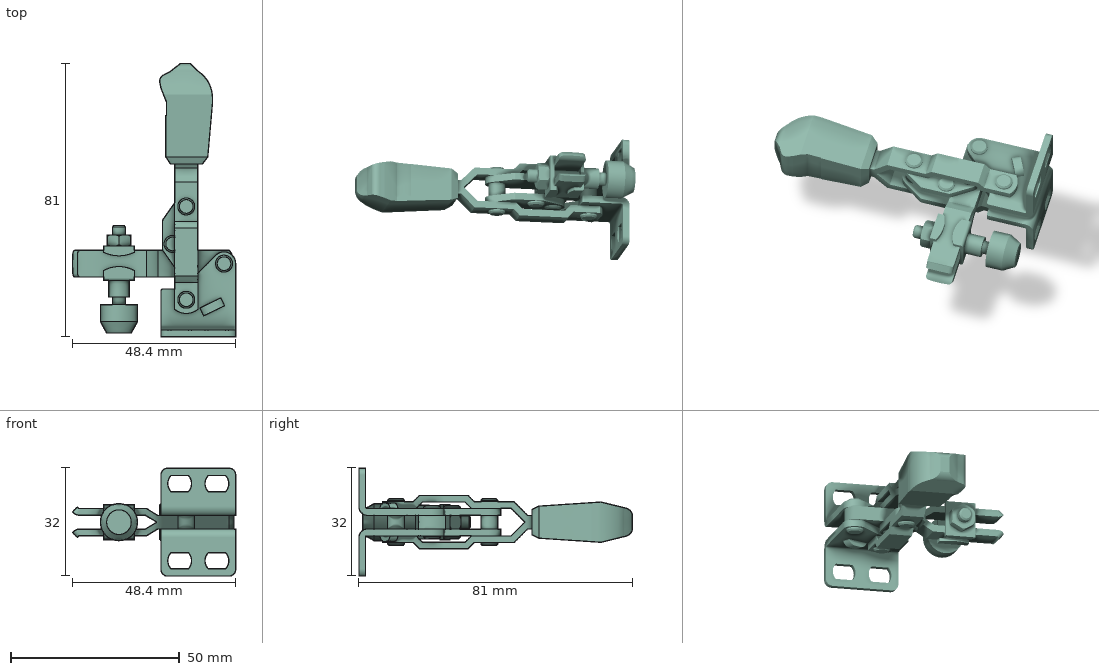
import cadquery as cq
import math


sheet = 2.0
bend_inner = 0.5
bend_outer = bend_inner + sheet
layer_1 = sheet
layer_2 = 2 * sheet
layer_3 = 3 * sheet
far = 48.6
sin_45 = math.sqrt(0.5)

rivet_radius = 2.5
rivet_head = 0.9
rivet_chamfer = 0.5
lever_pivot = (0, 11.0)
link_low_joint = (0, 21.7)
link_top_joint = (0, 38.6)
link_button = (-4.05, 27.5)
arm_pivot = (11.2, link_low_joint[1])

base_left = -7.5
base_right = 14.7
base_width = base_right - base_left
base_middle = (base_left + base_right) / 2
base_depth = 32.0
base_half_depth = base_depth / 2
base_shoulder = 14.25
base_shoulder_fillet = 0.65
base_ear_radius = base_right - arm_pivot[0]
flange_corner = 2.0
slot_spacing = 11.0
slot_offset = 11.4
slot_diameter = 7.0
slot_width = 4.7
stop_length = 6.9
stop_width = 2.6
stop_height = 1.6
stop_ramp = 2.35
stop_angle = 26.0
stop_center = (7.7, 8.9)

arm_height = 8.0
arm_bottom = arm_pivot[1] - arm_height / 2
arm_top = arm_pivot[1] + arm_height / 2
arm_length = 48.35
arm_left = base_right - arm_length
arm_end_x = 14.2
arm_end_shoulder_x = 12.7
arm_tip_fillet = 1.1
arm_tip_crown = 0.25
arm_tip_bend = -31.6
arm_bend_end_x = arm_tip_bend - bend_outer * sin_45
arm_bend_end_z = layer_1 + bend_outer * (1 - sin_45)
arm_tip_z = arm_bend_end_z + arm_bend_end_x - arm_left
arm_fork_outer = (-8.4, -11.75)
arm_fork_inner = (-8.75, -12.15)

lever_width = 6.9
lever_half_width = lever_width / 2
lever_offset = 1.9
lever_fork_y = 50.0
lever_wide_bottom = 18.0
lever_wide_top = 32.3
lever_foot_y = 7.0
lever_foot_corner_y = 8.2
grip_mouth_y = 51.2
grip_chamfer_y = 53.3
grip_peak_y = 71.7
grip_nose_y = 78.6
grip_tip_y = 81.0

link_end_radius = lever_half_width
link_left = -7.05
link_side_bottom = 25.75
link_side_top = link_top_joint[1] + link_low_joint[1] - link_side_bottom
link_corner_fillet = 0.8

spindle_x = -19.9
spindle_radius = 1.95
spindle_end_y = 33.05
spindle_end_chamfer = 0.5
nut_top_y = 30.2
nut_circumradius = 4.05
nut_chamfer = 0.4
collar_radius = 3.1
collar_bottom_y = 11.8
cap_radius = 5.5
cap_top_y = 9.55
cap_cone_y = 4.5
cap_bottom_y = 1.1
cap_bottom_radius = 3.65
washer_half_width = 4.5
upper_washer_sheet = 1.2
upper_tab_corner = 0.65
upper_tab_peak = 1.7
lower_washer_sheet = 1.0
lower_washer_fillet = 0.7
lower_tab_corner = 1.95
lower_tab_peak = 3.15


def at_z(z):
    return cq.Workplane("XY", origin=(0, 0, z))


def both_sides(half):
    return half.union(half.mirror("XY"))


def pin(joint, head_face):
    """Rivet through the whole stack, with a chamfered head beyond each head face."""
    half_length = head_face + rivet_head
    return (
        at_z(-half_length)
        .center(*joint)
        .circle(rivet_radius)
        .extrude(2 * half_length)
        .faces("<Z or >Z")
        .chamfer(rivet_chamfer)
    )


def pin_hole(joint):
    return at_z(-far).center(*joint).circle(rivet_radius).extrude(2 * far)


def web_outline():
    """Base plate outline: low shoulder, 45 degree flank and a round ear at the arm pivot."""
    ear_x, ear_y = arm_pivot
    tangent_x = ear_x - base_ear_radius * sin_45
    tangent_y = ear_y + base_ear_radius * sin_45
    flank_foot_x = tangent_x - (tangent_y - base_shoulder)
    return (
        at_z(0)
        .moveTo(base_left, 0)
        .lineTo(base_left, base_shoulder)
        .lineTo(flank_foot_x, base_shoulder)
        .lineTo(tangent_x, tangent_y)
        .threePointArc(
            (ear_x + base_ear_radius * sin_45, tangent_y),
            (base_right, ear_y),
        )
        .lineTo(base_right, 0)
        .close()
        .extrude(far)
        .faces("<X")
        .edges(">Y")
        .fillet(base_shoulder_fillet)
    )


def angle_section():
    """Bent L section: web standing along Y, flange lying along Z."""
    return (
        cq.Workplane("YZ", origin=(base_left, 0, 0))
        .moveTo(far, layer_1)
        .lineTo(bend_outer, layer_1)
        .radiusArc((0, layer_1 + bend_outer), bend_outer)
        .lineTo(0, base_half_depth)
        .lineTo(sheet, base_half_depth)
        .lineTo(sheet, layer_2 + bend_inner)
        .radiusArc((bend_outer, layer_2), -bend_inner)
        .lineTo(far, layer_2)
        .close()
        .extrude(base_width)
    )


def flange_slots():
    """Two slots with flat long sides and round ends."""
    slots = cq.Workplane("XZ")
    for side in (-1, 1):
        center = (base_middle + side * slot_spacing / 2, slot_offset)
        plane = cq.Workplane("XZ", origin=(0, sheet, 0)).center(*center)
        disc = plane.circle(slot_diameter / 2).extrude(sheet)
        slots = slots.union(disc.intersect(plane.rect(slot_diameter, slot_width).extrude(sheet)))
    return slots


def stop_bump():
    """Lever stop pressed out of the web, with round ramps at both ends."""
    half_length = stop_length / 2
    flat_half = half_length - stop_ramp
    ramp_radius = (stop_ramp**2 + stop_height**2) / (2 * stop_height)
    profile = (
        cq.Workplane("XZ", origin=(0, stop_width / 2, 0))
        .moveTo(-half_length, 0)
        .radiusArc((-flat_half, stop_height), ramp_radius)
        .lineTo(flat_half, stop_height)
        .radiusArc((half_length, 0), ramp_radius)
        .close()
        .extrude(stop_width)
    )
    return profile.rotate((0, 0, 0), (0, 0, 1), stop_angle).translate((*stop_center, layer_2))


def make_base():
    half = angle_section().intersect(web_outline())
    half = half.faces(">Z").edges("|Y").fillet(flange_corner)
    half = half.cut(flange_slots()).union(stop_bump())
    return both_sides(half).union(pin(lever_pivot, layer_3)).union(pin(arm_pivot, layer_2))


def arm_strip():
    """Upper strip: flat at the pivot, forked outward, with its tip bent out by 45 degrees."""
    rise = sheet * sin_45
    bend_in_x = arm_tip_bend - bend_inner * sin_45
    bend_in_z = layer_2 + bend_inner * (1 - sin_45)
    return (
        cq.Workplane("XZ", origin=(0, far, 0))
        .moveTo(arm_end_x, 0)
        .lineTo(arm_fork_inner[0], 0)
        .lineTo(arm_fork_inner[1], layer_1)
        .lineTo(arm_tip_bend, layer_1)
        .radiusArc((arm_bend_end_x, arm_bend_end_z), bend_outer)
        .lineTo(arm_left, arm_tip_z)
        .lineTo(arm_left + rise, arm_tip_z + rise)
        .lineTo(bend_in_x, bend_in_z)
        .radiusArc((arm_tip_bend, layer_2), -bend_inner)
        .lineTo(arm_fork_outer[1], layer_2)
        .lineTo(arm_fork_outer[0], layer_1)
        .lineTo(arm_end_x, layer_1)
        .close()
        .extrude(far)
    )


def arm_outline():
    return (
        at_z(0)
        .moveTo(arm_left, arm_bottom)
        .lineTo(arm_end_shoulder_x, arm_bottom)
        .threePointArc((arm_end_x, arm_pivot[1]), (arm_end_shoulder_x, arm_top))
        .lineTo(arm_left, arm_top)
        .close()
        .extrude(far)
    )


def arm_tip_outline():
    """Crowned strip end with round corners, square to the 45 degree tip of the upper strip."""
    half_height = arm_height / 2
    tip_plane = cq.Plane(
        origin=(arm_left, arm_pivot[1], arm_tip_z),
        xDir=(1, 0, -1),
        normal=(1, 0, 1),
    )
    return (
        cq.Workplane(tip_plane)
        .moveTo(far, -half_height)
        .lineTo(arm_tip_crown, -half_height)
        .threePointArc((0, 0), (arm_tip_crown, half_height))
        .lineTo(far, half_height)
        .close()
        .extrude(far, both=True)
        .edges(cq.selectors.ParallelDirSelector(tip_plane.zDir))
        .fillet(arm_tip_fillet)
    )


def make_arm():
    strip = arm_strip().intersect(arm_outline()).intersect(arm_tip_outline())
    arm = both_sides(strip)
    for joint in (arm_pivot, link_low_joint):
        arm = arm.cut(pin_hole(joint))
    return arm


def link_plate():
    """Round ends at the two joints, a straight right side and a bulge to the left."""
    joint_x, top_y = link_top_joint
    low_y = link_low_joint[1]
    corner_dx = link_left - joint_x
    corner_dy = link_side_top - top_y
    corner_distance = math.hypot(corner_dx, corner_dy)
    touch_angle = math.atan2(corner_dy, corner_dx) - math.acos(link_end_radius / corner_distance)
    touch_x = joint_x + link_end_radius * math.cos(touch_angle)
    touch_dy = link_end_radius * math.sin(touch_angle)
    right_x = joint_x + link_end_radius
    return (
        at_z(layer_1)
        .moveTo(right_x, low_y)
        .lineTo(right_x, top_y)
        .threePointArc((joint_x, top_y + link_end_radius), (touch_x, top_y + touch_dy))
        .lineTo(link_left, link_side_top)
        .lineTo(link_left, link_side_bottom)
        .lineTo(touch_x, low_y - touch_dy)
        .threePointArc((joint_x, low_y - link_end_radius), (right_x, low_y))
        .close()
        .extrude(sheet)
        .edges("|Z and <X")
        .fillet(link_corner_fillet)
    )


def button_head():
    return (
        at_z(layer_2)
        .center(*link_button)
        .circle(rivet_radius)
        .extrude(rivet_head)
        .faces(">Z")
        .chamfer(rivet_chamfer)
    )


def make_link():
    """Two plates joined by the pins of both joints, each with a button head on its outer face."""
    plate = link_plate().union(button_head())
    link = plate.union(plate.mirror("XY"))
    return link.union(pin(link_top_joint, layer_3)).union(pin(link_low_joint, layer_2))


def lever_leg():
    """One leg of the forked lever, a strip of constant thickness with 45 degree bends."""
    miter = sheet * math.tan(math.pi / 8)
    narrow_top = lever_fork_y - (layer_3 - layer_1)
    wide = layer_3 + lever_offset
    outer = [
        (grip_chamfer_y, layer_1),
        (lever_fork_y, layer_1),
        (narrow_top, layer_3),
        (lever_wide_top + lever_offset, layer_3),
        (lever_wide_top, wide),
        (lever_wide_bottom, wide),
        (lever_wide_bottom - lever_offset, layer_3),
        (lever_foot_y, layer_3),
    ]
    inner = [
        (lever_foot_y, layer_2),
        (lever_wide_bottom - lever_offset + miter, layer_2),
        (lever_wide_bottom + miter, wide - sheet),
        (lever_wide_top - miter, wide - sheet),
        (lever_wide_top + lever_offset - miter, layer_2),
        (narrow_top - miter, layer_2),
        (lever_fork_y - miter, 0),
        (grip_chamfer_y, 0),
    ]
    return (
        cq.Workplane("YZ", origin=(-lever_half_width, 0, 0))
        .polyline(outer + inner)
        .close()
        .extrude(lever_width)
    )


def lever_outline():
    return (
        at_z(0)
        .moveTo(-lever_half_width, grip_chamfer_y)
        .lineTo(-lever_half_width, lever_foot_corner_y)
        .threePointArc((0, lever_foot_y), (lever_half_width, lever_foot_corner_y))
        .lineTo(lever_half_width, grip_chamfer_y)
        .close()
        .extrude(far)
    )


def grip_side_shape():
    """Grip outline across X: straight finger side, thumb hollow, hooked nose and tapered back."""
    return (
        at_z(-far)
        .moveTo(-4.7, grip_mouth_y)
        .lineTo(-6.1, grip_chamfer_y)
        .lineTo(-6.1, 65.5)
        .lineTo(-5.9, 65.5)
        .lineTo(-5.9, 69.7)
        .threePointArc((-6.7, 71.6), (-7.5, 73.8))
        .lineTo(-7.8, 75.0)
        .threePointArc((-7.8, 76.4), (-7.0, 77.4))
        .lineTo(-4.8, grip_nose_y)
        .lineTo(-1.7, grip_tip_y)
        .lineTo(1.1, grip_tip_y)
        .lineTo(3.65, grip_nose_y)
        .threePointArc((6.65, 75.25), (7.8, 70.95))
        .lineTo(7.8, 69.0)
        .lineTo(6.4, grip_chamfer_y)
        .lineTo(4.8, grip_mouth_y)
        .close()
        .extrude(2 * far)
    )


def grip_thickness_shape():
    """Grip thickness along Y: tapered body, sloping nose and rounded tip."""
    half = (
        cq.Workplane("YZ", origin=(-far, 0, 0))
        .moveTo(grip_mouth_y, 0)
        .lineTo(grip_mouth_y, 3.7)
        .lineTo(grip_chamfer_y, 4.8)
        .lineTo(grip_peak_y, 6.0)
        .lineTo(grip_nose_y, 4.3)
        .threePointArc((80.35, 3.4), (grip_tip_y, 2.3))
        .lineTo(grip_tip_y, 0)
        .close()
        .extrude(2 * far)
    )
    return both_sides(half)


def make_lever():
    """Forked lever with its grip."""
    lever = both_sides(lever_leg().intersect(lever_outline()))
    lever = lever.cut(pin_hole(lever_pivot)).cut(pin_hole(link_top_joint))
    return lever.union(grip_side_shape().intersect(grip_thickness_shape()))


def washer_plate(y_low, thickness, outer_z):
    return (
        cq.Workplane("XY")
        .box(2 * washer_half_width, thickness, 2 * outer_z, centered=(True, False, True))
        .translate((spindle_x, y_low, 0))
    )


def washer_tabs(y_root, y_corner, y_peak, thickness):
    """Two tabs with arched ends that lie on the outer faces of the arm strips."""
    left = spindle_x - washer_half_width
    right = spindle_x + washer_half_width
    tab = (
        at_z(layer_2)
        .moveTo(left, y_root)
        .lineTo(left, y_corner)
        .threePointArc((spindle_x, y_peak), (right, y_corner))
        .lineTo(right, y_root)
        .close()
        .extrude(thickness)
    )
    return tab, tab.mirror("XY")


def spindle_hole():
    return cq.Workplane("XZ", origin=(spindle_x, far, 0)).circle(spindle_radius).extrude(far)


def make_upper_washer():
    thickness = upper_washer_sheet
    washer = washer_plate(arm_top, thickness, layer_2 + thickness)
    for tab in washer_tabs(arm_top + thickness, arm_top - upper_tab_corner,
                           arm_top - upper_tab_peak, thickness):
        washer = washer.union(tab)
    return washer.cut(spindle_hole())


def make_lower_washer():
    thickness = lower_washer_sheet
    washer = washer_plate(arm_bottom - thickness, thickness, layer_2 + thickness)
    for tab in washer_tabs(arm_bottom - thickness, arm_bottom + lower_tab_corner,
                           arm_bottom + lower_tab_peak, thickness):
        washer = washer.union(tab)
    washer = washer.edges("|X and <Y and (<Z or >Z)").fillet(lower_washer_fillet)
    return washer.cut(spindle_hole())


def make_spindle():
    """Turned spindle with a conical pressure cap, a collar and a hexagon nut."""
    collar_top_y = arm_bottom - lower_washer_sheet
    nut_bottom_y = arm_top + upper_washer_sheet
    profile = [
        (0, cap_bottom_y),
        (cap_bottom_radius, cap_bottom_y),
        (cap_radius, cap_cone_y),
        (cap_radius, cap_top_y),
        (spindle_radius, cap_top_y),
        (spindle_radius, collar_bottom_y),
        (collar_radius, collar_bottom_y),
        (collar_radius, collar_top_y),
        (spindle_radius, collar_top_y),
        (spindle_radius, spindle_end_y - spindle_end_chamfer),
        (spindle_radius - spindle_end_chamfer, spindle_end_y),
        (0, spindle_end_y),
    ]
    turned = cq.Workplane("XY").polyline(profile).close().revolve(360, (0, 0, 0), (0, 1, 0))
    nut_height = nut_top_y - nut_bottom_y
    nut_plane = cq.Workplane("XZ", origin=(0, nut_top_y, 0))
    hexagon = nut_plane.polygon(6, 2 * nut_circumradius).extrude(nut_height)
    rounding = (
        nut_plane.circle(nut_circumradius)
        .extrude(nut_height)
        .faces("<Y or >Y")
        .chamfer(nut_chamfer)
    )
    nut = hexagon.rotate((0, 0, 0), (0, 1, 0), 30).intersect(rounding)
    return turned.union(nut).translate((spindle_x, 0, 0))


base = make_base()
arm = make_arm()
link = make_link()
lever = make_lever()
upper_washer = make_upper_washer()
lower_washer = make_lower_washer()
spindle = make_spindle()

result = cq.Compound.makeCompound([
    base.solids().val(),
    arm.solids().val(),
    link.solids().val(),
    lever.solids().val(),
    upper_washer.solids().val(),
    lower_washer.solids().val(),
    spindle.solids().val(),
])